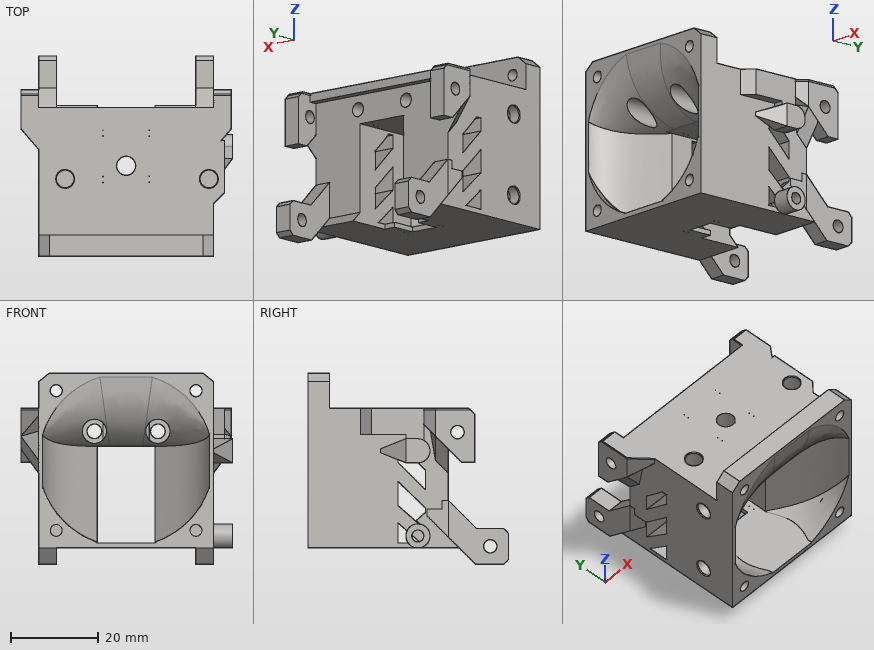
import cadquery as cq
import math


FAN_SIZE = 40.0
HALF_WIDTH = FAN_SIZE / 2
FLANGE_DEPTH = 4.95
FLANGE_CORNER_X = 2.4
FLANGE_CORNER_Z = 1.95
BODY_TOP = 32.0
BODY_BACK = 32.1
TOP_LIP_BACK = 34.05
TOP_LIP_THICKNESS = 2.0
WING_THICKNESS = 0.45

MOUTH_RADIUS = 20.0
MOUTH_HALF = 19.05
DUCT_DEPTH = 14.4
DUCT_STEPS = 4
WALL_CURVE = 1.6
FLOOR_BULGE = 2.25
WINDOW_HALF = 6.6
WINDOW_BOTTOM = 1.15
WINDOW_TOP = 23.25
ROOF_HALF_AT_WINDOW = 3.78
CORNER_STUB = 0.1

FLOOR_SLOT_HALF = 3.6
FLOOR_SLOT_FRONT = 17.3
FLOOR_GAP_FRONT = 23.5

VENT_FRONT = 20.6
VENT_BACK = 26.8
VENTS = [
    [(VENT_BACK, 17.75), (21.95, 22.6), (VENT_FRONT, 22.6), (VENT_FRONT, 19.5), (VENT_BACK, 13.35)],
    [(VENT_BACK, 9.15), (VENT_FRONT, 15.15), (VENT_FRONT, 9.7), (VENT_BACK, 4.2)],
    [(25.75, WINDOW_BOTTOM), (VENT_FRONT, 5.65), (VENT_FRONT, WINDOW_BOTTOM)],
]
VENT_FILL = [(VENT_BACK, 8.15), (24.75, 6.3), (VENT_BACK, 4.2)]
VENT_FILL_DEPTH = 1.95

FAN_SCREW_DIAMETER = 2.7
FAN_SCREW_INSET = 4.0
INSERT_MOUTH_DIAMETER = 4.3
INSERT_DIAMETER = 4.0
INSERT_CHAMFER_DEPTH = 0.3
TOP_INSERT_DEPTH = 5.8
TOP_INSERT_Y = 17.7
TOP_INSERT_X = (-13.95, 18.92)
SIDE_INSERT_DEPTH = 2.9
SIDE_INSERT_Y = 9.05
SIDE_INSERT_Z = (6.5, 25.5)
CABLE_HOLE_Y = 20.7
CABLE_HOLE_DIAMETER = 4.3
REAR_SCREW_X = 7.25
REAR_SCREW_Z = 26.65
REAR_SCREW_DIAMETER = 3.3
REAR_HEAD_DIAMETER = 5.5
REAR_SEAT_Y = 16.95
PINHOLE_DIAMETER = 0.1
PINHOLE_X = 5.28
PINHOLE_Y = (16.95, 18.3, 27.5, 28.85)

EAR_OUTER = 24.05
EAR_WIDTH = EAR_OUTER - HALF_WIDTH
EAR_BACK = 38.15
EAR_BOTTOM = 19.55
EAR_CHAMFER = 1.4
EAR_FRONT = 24.45
EAR_TAPER_BACK = 29.15
EAR_SLOPE_SUM = 54.7
EAR_HOLE_Y = 34.15
EAR_HOLE_Z = 26.47
EAR_HOLE_DIAMETER = 3.0
BRACE_DROP = 5.5
BRACE_TIP_Y = 27.98

ARM_WIDTH = 4.1
ARM_BACK = 45.85
ARM_BOTTOM = -3.75
ARM_TOP = 4.45
ARM_CHAMFER = 1.05
ARM_LOWER_SUM = 34.55
ARM_UPPER_SUM = 43.0
ARM_HOLE_Y = 41.65
ARM_HOLE_Z = 0.4
ARM_HOLE_DIAMETER = 3.0
KEY_STEP_Y = 30.65
KEY_STEP_Z = 8.95
KEY_FRONT = 27.15

BOSS_END = 24.35
BOSS_RADIUS = 2.75
BOSS_Y = 25.1
UPPER_BOSS_Z = 22.2
LOWER_BOSS_Z = BOSS_RADIUS
BOSS_HOLE_DIAMETER = 2.7
BOSS_HOLE_DEPTH = 9.7
BOSS_TAPER_FRONT = 16.55
BOSS_TAPER_Z = (21.8, 22.65)
BLOCK_OUTER = 22.5
BLOCK_BACK = 26.47
BLOCK_FRONT = 14.5
BLOCK_BOTTOM = 25.9


def box(x0, x1, y0, y1, z0, z1):
    return cq.Workplane("XY").box(x1 - x0, y1 - y0, z1 - z0, centered=False).translate((x0, y0, z0))


def side_prism(outline, x0, x1):
    """Prism along X over an outline given in Y, Z."""
    return cq.Workplane("YZ", origin=(x0, 0, 0)).polyline(outline).close().extrude(x1 - x0)


def rod(start, direction, diameter, length):
    return cq.Workplane(cq.Solid.makeCylinder(diameter / 2, length, cq.Vector(*start), cq.Vector(*direction)))


def insert_hole(start, direction, depth):
    """Blind hole with a narrow chamfer at its mouth."""
    chamfer = cq.Solid.makeCone(
        INSERT_MOUTH_DIAMETER / 2,
        INSERT_DIAMETER / 2,
        INSERT_CHAMFER_DEPTH,
        cq.Vector(*start),
        cq.Vector(*direction),
    )
    return rod(start, direction, INSERT_DIAMETER, depth).union(cq.Workplane(chamfer))


def polyhedron(points, faces):
    """Solid with flat faces; each face lists its corners by name."""
    shells = [
        cq.Face.makeFromWires(cq.Wire.makePolygon([cq.Vector(*points[name]) for name in face], close=True))
        for face in faces
    ]
    return cq.Workplane(cq.Solid.makeSolid(cq.Shell.makeShell(shells)))


def mirrored(body, side):
    return body if side > 0 else body.mirror("YZ")




def housing_block():
    profile = [
        (0, 0),
        (ARM_LOWER_SUM, 0),
        (BODY_BACK, ARM_LOWER_SUM - BODY_BACK),
        (BODY_BACK, BODY_TOP - TOP_LIP_THICKNESS),
        (TOP_LIP_BACK, BODY_TOP - TOP_LIP_THICKNESS),
        (TOP_LIP_BACK, BODY_TOP),
        (0, BODY_TOP),
    ]
    flange = (
        cq.Workplane("XZ")
        .moveTo(-HALF_WIDTH, 0)
        .lineTo(HALF_WIDTH, 0)
        .lineTo(HALF_WIDTH, FAN_SIZE - FLANGE_CORNER_Z)
        .lineTo(HALF_WIDTH - FLANGE_CORNER_X, FAN_SIZE)
        .lineTo(FLANGE_CORNER_X - HALF_WIDTH, FAN_SIZE)
        .lineTo(-HALF_WIDTH, FAN_SIZE - FLANGE_CORNER_Z)
        .close()
        .extrude(-FLANGE_DEPTH)
    )
    return side_prism(profile, -HALF_WIDTH, HALF_WIDTH).union(flange)


def duct_section(angle):
    """Duct outline at one station: the roof follows a quarter ellipse and the walls curve inward."""
    along = 1 - math.cos(angle)
    fall = math.sin(angle)
    settle = along * (2 - along)
    mouth_flat = math.sqrt(MOUTH_RADIUS**2 - MOUTH_HALF**2)
    middle = HALF_WIDTH

    def blend(at_mouth, at_window, share):
        return at_mouth + (at_window - at_mouth) * share

    half = blend(MOUTH_HALF, WINDOW_HALF, along**WALL_CURVE)
    roof = blend(middle + MOUTH_HALF, WINDOW_TOP, fall)
    roof_half = blend(mouth_flat, ROOF_HALF_AT_WINDOW, fall)
    wall_top = blend(middle + mouth_flat, WINDOW_TOP - CORNER_STUB, settle)
    wall_bottom = blend(middle - mouth_flat, WINDOW_BOTTOM + CORNER_STUB, settle)
    floor_half = blend(mouth_flat, WINDOW_HALF - CORNER_STUB, along) + FLOOR_BULGE * math.sin(math.pi * along)

    def bulge(inner, outer, up):
        """Point on the rounded corner, halfway between its two ends."""
        chord = math.hypot(outer[0] - inner[0], outer[1] - inner[1])
        sag = (MOUTH_RADIUS - math.sqrt(MOUTH_RADIUS**2 - (chord / 2) ** 2)) * blend(0.5, CORNER_STUB, along)
        across = (outer[1] - inner[1]) / chord
        rise = (outer[0] - inner[0]) / chord
        return ((inner[0] + outer[0]) / 2 - up * across * sag, (inner[1] + outer[1]) / 2 + up * rise * sag)

    upper = bulge((roof_half, roof), (half, wall_top), 2.066)
    lower = bulge((floor_half, WINDOW_BOTTOM), (half, wall_bottom), -2.066)
    return (
        cq.Workplane("XZ", origin=(0, along * DUCT_DEPTH, 0))
        .moveTo(-roof_half, roof)
        .lineTo(roof_half, roof)
        .threePointArc(upper, (half, wall_top))
        .lineTo(half, wall_bottom)
        .threePointArc(lower, (floor_half, WINDOW_BOTTOM))
        .lineTo(-floor_half, WINDOW_BOTTOM)
        .threePointArc((-lower[0], lower[1]), (-half, wall_bottom))
        .lineTo(-half, wall_top)
        .threePointArc((-upper[0], upper[1]), (-roof_half, roof))
        .close()
        .val()
    )


def duct():
    angles = [math.pi / 2 * step / DUCT_STEPS for step in range(DUCT_STEPS + 1)]
    mouth = cq.Workplane(cq.Solid.makeLoft([duct_section(angle) for angle in angles], False))
    window = box(-WINDOW_HALF, WINDOW_HALF, 0, ARM_LOWER_SUM, WINDOW_BOTTOM, WINDOW_TOP)
    floor_slot = box(-FLOOR_SLOT_HALF, FLOOR_SLOT_HALF, FLOOR_SLOT_FRONT, FLOOR_GAP_FRONT, 0, WINDOW_BOTTOM)
    floor_gap = box(-WINDOW_HALF, WINDOW_HALF, FLOOR_GAP_FRONT, ARM_LOWER_SUM, 0, WINDOW_BOTTOM)
    return [window, mouth, floor_slot, floor_gap]


def housing_holes():
    holes = []
    for side in (-1, 1):
        for z in (FAN_SCREW_INSET, FAN_SIZE - FAN_SCREW_INSET):
            fan_screw_start = (side * (HALF_WIDTH - FAN_SCREW_INSET), 0, z)
            holes.append(rod(fan_screw_start, (0, 1, 0), FAN_SCREW_DIAMETER, FLANGE_DEPTH))
        rear_start = (side * REAR_SCREW_X, 0, REAR_SCREW_Z)
        holes.append(rod(rear_start, (0, 1, 0), REAR_SCREW_DIAMETER, BODY_BACK))
        holes.append(rod(rear_start, (0, 1, 0), REAR_HEAD_DIAMETER, REAR_SEAT_Y))
        for y in PINHOLE_Y:
            holes.append(rod((side * PINHOLE_X, y, 0), (0, 0, 1), PINHOLE_DIAMETER, BODY_TOP))
    for x in TOP_INSERT_X:
        holes.append(insert_hole((x, TOP_INSERT_Y, BODY_TOP), (0, 0, -1), TOP_INSERT_DEPTH))
    for z in SIDE_INSERT_Z:
        holes.append(insert_hole((-HALF_WIDTH, SIDE_INSERT_Y, z), (1, 0, 0), SIDE_INSERT_DEPTH))
    holes.append(rod((0, CABLE_HOLE_Y, 0), (0, 0, 1), CABLE_HOLE_DIAMETER, BODY_TOP))
    return holes


def upper_boss():
    """Boss with a round back, a square front and a tapered nose that runs out on the wall."""
    front = BOSS_Y - BOSS_RADIUS
    bottom = UPPER_BOSS_Z - BOSS_RADIUS
    top = UPPER_BOSS_Z + BOSS_RADIUS
    length = BOSS_END - HALF_WIDTH
    round_back = rod((HALF_WIDTH, BOSS_Y, UPPER_BOSS_Z), (1, 0, 0), 2 * BOSS_RADIUS, length)
    square_front = box(HALF_WIDTH, BOSS_END, front, BOSS_Y, bottom, top)
    nose = polyhedron(
        {
            "wall low": (HALF_WIDTH, front, bottom),
            "end low": (BOSS_END, front, bottom),
            "end high": (BOSS_END, front, top),
            "wall high": (HALF_WIDTH, front, top),
            "tip low": (HALF_WIDTH, BOSS_TAPER_FRONT, BOSS_TAPER_Z[0]),
            "tip high": (HALF_WIDTH, BOSS_TAPER_FRONT, BOSS_TAPER_Z[1]),
        },
        [
            ("wall low", "end low", "end high", "wall high"),
            ("end low", "end high", "tip high", "tip low"),
            ("wall low", "end low", "tip low"),
            ("wall high", "end high", "tip high"),
            ("wall low", "wall high", "tip high", "tip low"),
        ],
    )
    neck = box(HALF_WIDTH, BLOCK_OUTER, front, BLOCK_BACK, UPPER_BOSS_Z, BLOCK_BOTTOM)
    return [round_back, square_front, nose, neck]


def side_block():
    """Block beside the top plate; its front end runs back to the wall at 45 degrees."""
    depth = BLOCK_OUTER - HALF_WIDTH
    outline = [
        (HALF_WIDTH, BLOCK_BACK),
        (BLOCK_OUTER, BLOCK_BACK),
        (BLOCK_OUTER, BLOCK_FRONT),
        (HALF_WIDTH, BLOCK_FRONT - depth),
    ]
    base = cq.Workplane("XY", origin=(0, 0, BLOCK_BOTTOM))
    return base.polyline(outline).close().extrude(BODY_TOP - BLOCK_BOTTOM)


def brace():
    """Wedge under the +X ear, tapering to a point on the wall."""
    back_z = EAR_SLOPE_SUM - BODY_BACK
    front_z = EAR_SLOPE_SUM - EAR_TAPER_BACK
    return polyhedron(
        {
            "outer back": (EAR_OUTER, BODY_BACK, back_z),
            "outer front": (EAR_OUTER, EAR_TAPER_BACK, front_z),
            "low back": (HALF_WIDTH, BODY_BACK, back_z - BRACE_DROP),
            "low front": (HALF_WIDTH, EAR_TAPER_BACK, front_z - BRACE_DROP),
            "tip": (HALF_WIDTH, BRACE_TIP_Y, EAR_SLOPE_SUM - BRACE_TIP_Y),
            "high back": (HALF_WIDTH, BODY_BACK, back_z),
        },
        [
            ("outer back", "outer front", "tip", "high back"),
            ("outer back", "high back", "low back"),
            ("outer back", "low back", "low front", "outer front"),
            ("outer front", "low front", "tip"),
            ("high back", "tip", "low front", "low back"),
        ],
    )


def full_ear():
    """The +X ear up to the top of the housing, without its screw hole."""
    profile = [
        (EAR_BACK, EAR_BOTTOM),
        (EAR_SLOPE_SUM - EAR_BOTTOM, EAR_BOTTOM),
        (EAR_FRONT, EAR_SLOPE_SUM - EAR_FRONT),
        (EAR_FRONT, BODY_TOP),
        (EAR_BACK - EAR_CHAMFER, BODY_TOP),
        (EAR_BACK, BODY_TOP - EAR_CHAMFER),
    ]
    plan = [
        (HALF_WIDTH, EAR_BACK),
        (EAR_OUTER, EAR_BACK),
        (EAR_OUTER, EAR_TAPER_BACK),
        (HALF_WIDTH, EAR_FRONT),
    ]
    footprint = cq.Workplane("XY").polyline(plan).close().extrude(BODY_TOP)
    return side_prism(profile, HALF_WIDTH, EAR_OUTER).intersect(footprint)


def wing_layer():
    """Space of the thin wings that the housing carries over the ears."""
    return box(-EAR_OUTER, EAR_OUTER, 0, EAR_BACK, BODY_TOP - WING_THICKNESS, BODY_TOP)


def make_housing():
    housing = housing_block()
    for vent in VENTS:
        housing = housing.cut(side_prism(vent, -HALF_WIDTH, HALF_WIDTH))
    housing = housing.union(side_prism(VENT_FILL, HALF_WIDTH - VENT_FILL_DEPTH, HALF_WIDTH))
    for opening in duct():
        housing = housing.cut(opening)
    for side in (-1, 1):
        housing = housing.union(mirrored(full_ear().intersect(wing_layer()), side))
        housing = housing.union(mirrored(brace(), side))
        housing = housing.cut(mirrored(wall_key(), side))
    lower_boss = rod((HALF_WIDTH, BOSS_Y, LOWER_BOSS_Z), (1, 0, 0), 2 * BOSS_RADIUS, BOSS_END - HALF_WIDTH)
    for addition in [side_block(), lower_boss, *upper_boss()]:
        housing = housing.union(addition.cut(full_ear()))
    for hole in housing_holes():
        housing = housing.cut(hole)
    return housing.cut(rod((BOSS_END, BOSS_Y, LOWER_BOSS_Z), (-1, 0, 0), BOSS_HOLE_DIAMETER, BOSS_HOLE_DEPTH))




def ear():
    hole = rod((HALF_WIDTH, EAR_HOLE_Y, EAR_HOLE_Z), (1, 0, 0), EAR_HOLE_DIAMETER, EAR_WIDTH)
    return full_ear().cut(wing_layer()).cut(hole)


def arm():
    inner = HALF_WIDTH - ARM_WIDTH
    profile = [
        (BODY_BACK, ARM_LOWER_SUM - BODY_BACK),
        (BODY_BACK, ARM_UPPER_SUM - BODY_BACK),
        (ARM_UPPER_SUM - ARM_TOP, ARM_TOP),
        (ARM_BACK - ARM_CHAMFER, ARM_TOP),
        (ARM_BACK, ARM_TOP - ARM_CHAMFER),
        (ARM_BACK, ARM_BOTTOM + ARM_CHAMFER),
        (ARM_BACK - ARM_CHAMFER, ARM_BOTTOM),
        (ARM_LOWER_SUM - ARM_BOTTOM, ARM_BOTTOM),
    ]
    hole = rod((inner, ARM_HOLE_Y, ARM_HOLE_Z), (1, 0, 0), ARM_HOLE_DIAMETER, ARM_WIDTH)
    return side_prism(profile, inner, HALF_WIDTH).cut(hole)


def wall_key():
    top = ARM_UPPER_SUM - BODY_BACK
    profile = [
        (BODY_BACK, ARM_LOWER_SUM - BODY_BACK),
        (BODY_BACK, top),
        (KEY_STEP_Y, top),
        (KEY_STEP_Y, KEY_STEP_Z),
        (KEY_FRONT, KEY_STEP_Z),
        (KEY_FRONT, ARM_LOWER_SUM - KEY_FRONT),
    ]
    return side_prism(profile, HALF_WIDTH - ARM_WIDTH, HALF_WIDTH)


def both_sides(body):
    """The -X and +X copies of a body, as two solids."""
    return [mirrored(body, side).solids().val() for side in (-1, 1)]


housing = make_housing().solids().val()
ears = both_sides(ear())
arms = both_sides(arm())
wall_keys = both_sides(wall_key())

result = cq.Compound.makeCompound([housing, *ears, *arms, *wall_keys])